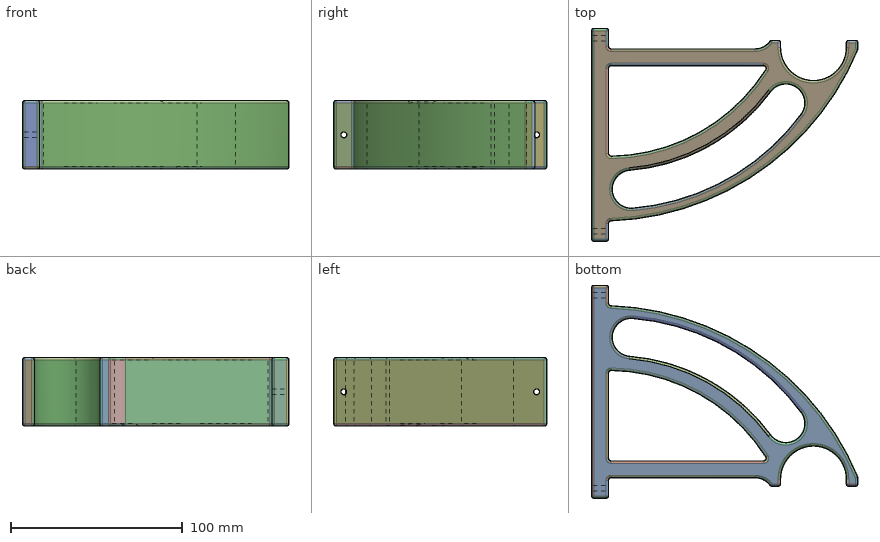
import cadquery as cq
import math

length = 155.0
height = 124.0
width = 40.0
edge_radius = 1.5

plate_thickness = 9.9
screw_hole_diameter = 3.3
screw_hole_inset = 5.9

arm_inset = 12.0
arm_top = height - arm_inset
arm_thickness = plate_thickness
arm_bottom = arm_top - arm_thickness

lip_top = 117.0
cradle_radius = 19.0
cradle_x = 129.1
cradle_y = 112.7
lip_blend_radius = 10.8
lip_blend_x = 95.2

outer_radius = 161.7
outer_center = (5.6, 173.5)

window_radius = 108.5
window_center = (9.8, 158.1)

slot_center = (12.9, 154.4)
slot_path_radius = 124.5
slot_half_width = 11.0
slot_start_angle = 4.7
slot_end_angle = 53.6


def arc_y(center, radius, x):
    """Y of the lower half of a circle at a given X."""
    return center[1] - math.sqrt(radius**2 - (x - center[0]) ** 2)


def arc_x(center, radius, y):
    """X of the right half of a circle at a given Y."""
    return center[0] + math.sqrt(radius**2 - (y - center[1]) ** 2)


def lower_arc_middle(center, radius, x_start, x_end):
    """A point on the lower half of a circle, halfway in X between two ends."""
    x = (x_start + x_end) / 2
    return (x, arc_y(center, radius, x))


def slot_point(radius, angle):
    """Point at a radius and angle about the slot centre."""
    turn = math.radians(angle)
    return (slot_center[0] + radius * math.sin(turn), slot_center[1] - radius * math.cos(turn))


def bracket_body():
    """Plate, arm, cradle and curved outer edge as one profile."""
    blend_center = (lip_blend_x, arm_top + lip_blend_radius)
    lip_x = arc_x(blend_center, lip_blend_radius, lip_top)
    cradle_left = cradle_x - cradle_radius
    cradle_right = cradle_x + cradle_radius
    return (
        cq.Workplane("XY")
        .moveTo(0, 0)
        .lineTo(plate_thickness, 0)
        .lineTo(plate_thickness, arc_y(outer_center, outer_radius, plate_thickness))
        .threePointArc(
            lower_arc_middle(outer_center, outer_radius, plate_thickness, length),
            (length, arc_y(outer_center, outer_radius, length)),
        )
        .lineTo(length, lip_top)
        .lineTo(cradle_right, lip_top)
        .lineTo(cradle_right, cradle_y)
        .threePointArc((cradle_x, cradle_y - cradle_radius), (cradle_left, cradle_y))
        .lineTo(cradle_left, lip_top)
        .lineTo(lip_x, lip_top)
        .threePointArc(
            lower_arc_middle(blend_center, lip_blend_radius, lip_blend_x, lip_x),
            (lip_blend_x, arm_top),
        )
        .lineTo(plate_thickness, arm_top)
        .lineTo(plate_thickness, height)
        .lineTo(0, height)
        .close()
        .extrude(width)
    )


def window():
    """Opening bounded by the plate, the arm and an arc."""
    tip_x = arc_x(window_center, window_radius, arm_bottom)
    return (
        cq.Workplane("XY")
        .moveTo(plate_thickness, arm_bottom)
        .lineTo(plate_thickness, arc_y(window_center, window_radius, plate_thickness))
        .threePointArc(
            lower_arc_middle(window_center, window_radius, plate_thickness, tip_x),
            (tip_x, arm_bottom),
        )
        .close()
        .extrude(width)
    )


def curved_slot():
    """Round-ended slot that follows an arc."""
    inner = slot_path_radius - slot_half_width
    outer = slot_path_radius + slot_half_width
    middle_angle = (slot_start_angle + slot_end_angle) / 2
    band = (
        cq.Workplane("XY")
        .moveTo(*slot_point(inner, slot_start_angle))
        .threePointArc(slot_point(inner, middle_angle), slot_point(inner, slot_end_angle))
        .lineTo(*slot_point(outer, slot_end_angle))
        .threePointArc(slot_point(outer, middle_angle), slot_point(outer, slot_start_angle))
        .close()
        .extrude(width)
    )
    end_points = [slot_point(slot_path_radius, a) for a in (slot_start_angle, slot_end_angle)]
    ends = cq.Workplane("XY").pushPoints(end_points).circle(slot_half_width).extrude(width)
    return band.union(ends).clean()


def screw_holes():
    """One hole through the plate near each of its ends."""
    return (
        cq.Workplane("YZ")
        .pushPoints([(y, width / 2) for y in (screw_hole_inset, height - screw_hole_inset)])
        .circle(screw_hole_diameter / 2)
        .extrude(plate_thickness)
    )


def is_corner(edge):
    """True unless the upright edge is a smooth join of a line and an arc."""
    smooth_joins = [
        (lip_blend_x, arm_top),
        (cradle_x - cradle_radius, cradle_y),
        (cradle_x + cradle_radius, cradle_y),
    ]
    center = edge.Center()
    return all(math.dist((center.x, center.y), join) > edge_radius for join in smooth_joins)


bracket = bracket_body().edges("|Z").filter(is_corner).fillet(edge_radius)
rounded_window = window().edges("|Z").fillet(edge_radius)
frame = bracket.cut(rounded_window).cut(curved_slot())

rounded_frame = frame.faces("<Z or >Z").edges().fillet(edge_radius)
result = rounded_frame.cut(screw_holes())